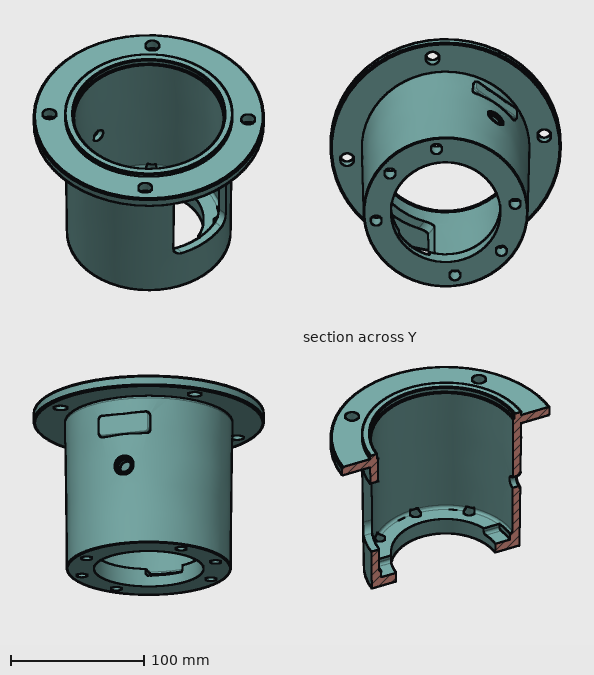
import cadquery as cq
import math

height = 127.0
lip_height = 3.0
flange_thickness = 8.3
flange_top = height - lip_height
flange_bottom = flange_top - flange_thickness

flange_radius = 86.5
flange_edge_chamfer = 1.0
lip_radius = 63.0
lip_edge_chamfer = 0.5
collar_height = 1.7
flange_hole_radius = 5.2
flange_hole_offset = 52.8

barrel_bottom_radius = 61.5
barrel_edge_chamfer = 0.5
cavity_top_radius = 56.0
cavity_bottom_radius = 55.2
floor_thickness = 13.8
floor_fillet = 2.5
floor_bore_radius = 41.2

mouth_radius = 56.9
mouth_depth = 4.3
mouth_chamfer = 0.7
seat_chamfer = 0.7

channel_width = 29.0
channel_depth = 5.2
channel_fillet = 2.2
channel_end_radius = 53.5

floor_hole_radius = 4.2
floor_hole_circle_radius = 52.5
floor_hole_angles = [45, 90, 135, 225, 270, 315]

window_width = 53.6
window_bottom = 35.6
window_top = 100.1
window_corner_radius = 7.0

side_hole_z = 62.0
side_hole_radius = 4.8
side_hole_mouth_radius = 5.9
spotface_radius = 7.5
spotface_x = -61.8

plate_width = 39.8
plate_bottom = 86.1
plate_top = 103.0
plate_face_x = -63.0
plate_corner_radius = 3.0
plate_edge_fillet = 1.0

wall_middle_radius = (barrel_bottom_radius + cavity_bottom_radius) / 2


def revolve_profile(points):
    """Revolve a closed (radius, z) outline about the Z axis."""
    return cq.Workplane("XZ").polyline(points).close().revolve(360, (0, 0, 0), (0, 1, 0))


def make_outside():
    return revolve_profile([
        (0, 0),
        (barrel_bottom_radius - barrel_edge_chamfer, 0),
        (barrel_bottom_radius, barrel_edge_chamfer),
        (lip_radius, flange_bottom - collar_height),
        (lip_radius, flange_bottom),
        (flange_radius - flange_edge_chamfer, flange_bottom),
        (flange_radius, flange_bottom + flange_edge_chamfer),
        (flange_radius, flange_top - flange_edge_chamfer),
        (flange_radius - flange_edge_chamfer, flange_top),
        (lip_radius, flange_top),
        (lip_radius, height - lip_edge_chamfer),
        (lip_radius - lip_edge_chamfer, height),
        (0, height),
    ])


def make_cavity():
    seat_z = height - mouth_depth
    cavity = revolve_profile([
        (0, floor_thickness),
        (cavity_bottom_radius, floor_thickness),
        (cavity_top_radius, seat_z - seat_chamfer),
        (mouth_radius - seat_chamfer / 2, seat_z),
        (mouth_radius, seat_z),
        (mouth_radius, height - mouth_chamfer),
        (mouth_radius + mouth_chamfer, height),
        (0, height),
    ])
    return cavity.faces("<Z").edges().fillet(floor_fillet)


def make_channel():
    bar = (
        cq.Workplane("XY", origin=(0, 0, floor_thickness - channel_depth))
        .box(2 * lip_radius, channel_width, 2 * channel_depth, centered=(True, True, False))
        .edges("|X and <Z")
        .fillet(channel_fillet)
    )
    return bar.intersect(cq.Workplane("XY").circle(channel_end_radius).extrude(height))


def make_floor_holes():
    points = []
    for angle in floor_hole_angles:
        a = math.radians(angle)
        points.append((floor_hole_circle_radius * math.cos(a), floor_hole_circle_radius * math.sin(a)))
    return cq.Workplane("XY").pushPoints(points).circle(floor_hole_radius).extrude(floor_thickness + floor_fillet)


def make_flange_holes():
    spacing = 2 * flange_hole_offset
    return (
        cq.Workplane("XY", origin=(0, 0, flange_bottom))
        .rarray(spacing, spacing, 2, 2)
        .circle(flange_hole_radius)
        .extrude(flange_thickness)
    )


def make_window():
    window_height = window_top - window_bottom
    return (
        cq.Workplane("YZ", origin=(0, 0, window_bottom + window_height / 2))
        .rect(window_width, window_height)
        .extrude(flange_radius)
        .edges("|X")
        .fillet(window_corner_radius)
    )


def make_side_hole():
    mouth_depth_x = side_hole_mouth_radius - side_hole_radius
    start = cq.Workplane("YZ", origin=(spotface_x, 0, side_hole_z))
    bore = start.circle(side_hole_radius).extrude(-spotface_x)
    mouth = start.circle(side_hole_mouth_radius).workplane(offset=mouth_depth_x).circle(side_hole_radius).loft()
    spotface = start.circle(spotface_radius).extrude(-lip_radius)
    return bore.union(mouth).union(spotface)


def make_nameplate():
    plate_height = plate_top - plate_bottom
    return (
        cq.Workplane("YZ", origin=(plate_face_x, 0, plate_bottom + plate_height / 2))
        .rect(plate_width, plate_height)
        .extrude(-plate_face_x - wall_middle_radius)
        .edges("|X")
        .fillet(plate_corner_radius)
        .faces("<X")
        .edges()
        .fillet(plate_edge_fillet)
    )


body = make_outside().union(make_nameplate()).cut(make_cavity())
bore = cq.Workplane("XY").circle(floor_bore_radius).extrude(height)
result = (
    body.cut(bore)
    .cut(make_channel())
    .cut(make_floor_holes())
    .cut(make_flange_holes())
    .cut(make_window())
    .cut(make_side_hole())
)